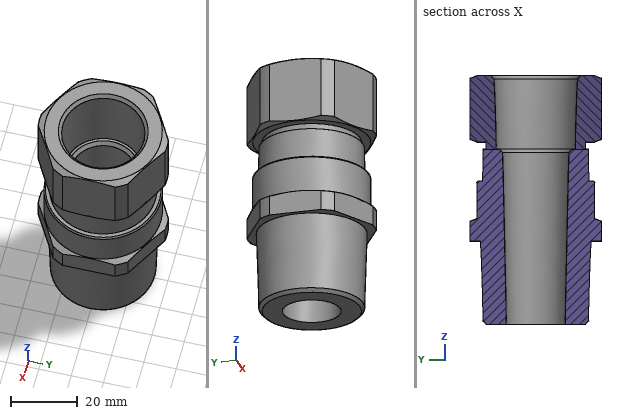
import cadquery as cq

across_flats = 36.0
corner_radius = 19.7
hex_face_radius = 17.7
hex_chamfer_height = 0.8

total_height = 74.75
end_chamfer = 1.05
flange_bottom = 25.0
flange_top = 31.9
collar_top = 43.1
body_top = 52.7
nut_bottom = 54.7

taper = 1 / 32

thread_root_radius = 16.7
collar_radius = 17.8
collar_chamfer = 0.45
shoulder_radius = 16.15
neck_radius = 14.95

body_mouth_radius = 11.0
body_bore_bottom_radius = 8.8
nut_mouth_radius = 13.45
nut_thread_radius = 12.5


def revolved(profile):
    """Spin a closed (radius, height) profile around the Z axis."""
    return cq.Workplane("XZ").polyline(profile).close().revolve(360, (0, 0), (0, 1))


def chamfered_hexagon(bottom, top, chamfer_bottom):
    """Hexagon with flats facing X and rounded corners, chamfered on top and optionally below."""
    height = top - bottom
    hexagon = (
        cq.Workplane("XY", origin=(0, 0, bottom))
        .polygon(6, across_flats, circumscribed=True)
        .extrude(height)
    )
    lower_edge = [(corner_radius, bottom)]
    if chamfer_bottom:
        lower_edge = [(hex_face_radius, bottom), (corner_radius, bottom + hex_chamfer_height)]
    envelope = revolved(
        [(0, bottom)]
        + lower_edge
        + [(corner_radius, top - hex_chamfer_height), (hex_face_radius, top), (0, top)]
    )
    return hexagon.intersect(envelope)


def make_body():
    """Male threaded body with a hexagonal flange, a collar and a tapered shoulder."""
    thread_end_radius = thread_root_radius - taper * (flange_bottom - end_chamfer)
    shoulder_top_radius = shoulder_radius - taper * (body_top - collar_top)
    turned = revolved([
        (0, 0),
        (thread_end_radius - end_chamfer, 0),
        (thread_end_radius, end_chamfer),
        (thread_root_radius, flange_bottom),
        (collar_radius, flange_bottom),
        (collar_radius, collar_top - collar_chamfer),
        (collar_radius - collar_chamfer, collar_top),
        (shoulder_radius, collar_top),
        (shoulder_top_radius, body_top),
        (0, body_top),
    ])
    flange = chamfered_hexagon(flange_bottom, flange_top, chamfer_bottom=False)
    bore = revolved([
        (0, 0),
        (body_bore_bottom_radius, 0),
        (body_mouth_radius - end_chamfer, body_top - end_chamfer),
        (body_mouth_radius, body_top),
        (0, body_top),
    ])
    return turned.union(flange).cut(bore)


def make_nut():
    """Hexagonal nut with a tapered female thread; its neck rests on top of the body."""
    neck = (
        cq.Workplane("XY", origin=(0, 0, body_top))
        .circle(neck_radius)
        .extrude(nut_bottom - body_top)
    )
    thread_top = total_height - end_chamfer
    thread_bottom_radius = nut_thread_radius - taper * (thread_top - body_top)
    bore = revolved([
        (0, body_top),
        (thread_bottom_radius, body_top),
        (nut_thread_radius, thread_top),
        (nut_mouth_radius, total_height),
        (0, total_height),
    ])
    return chamfered_hexagon(nut_bottom, total_height, chamfer_bottom=True).union(neck).cut(bore)


body = make_body()
nut = make_nut()

result = cq.Compound.makeCompound([body.solids().val(), nut.solids().val()])